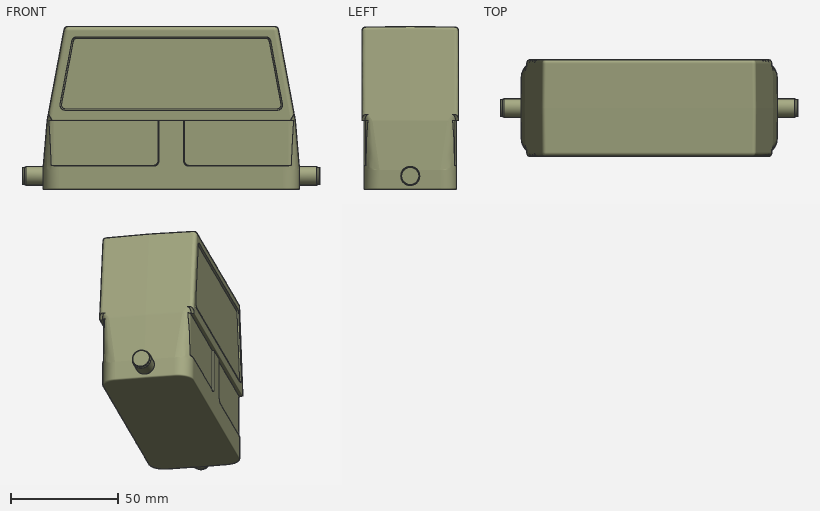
import cadquery as cq
import math

TOTAL_HEIGHT = 76.0
BASE_HEIGHT = 9.1
LIP_HEIGHT = 32.1
ROOF_FALL = 0.3

BASE_HALF_X = 59.8
LIP_HALF_X = 57.9
TOP_HALF_X = 49.7
BASE_HALF_Y = 21.6
OVERALL_DEPTH = 45.0
HOOD_HALF_Y = OVERALL_DEPTH / 2
END_PEAK = 0.3

BASE_CORNER_RADIUS = 7.5
WAIST_CORNER_RADIUS = 4.2
HOOD_EDGE_RADIUS = 1.8
FOOT_EDGE_RADIUS = 0.7
LIP_EDGE_RADIUS = 0.4
WAIST_BLEND_LENGTH = 0.62

PIN_HALF_SPAN = 69.2
PIN_DIAMETER = 8.9
PIN_TIP_DIAMETER = 8.0
PIN_TIP_LENGTH = 0.8
PIN_CONE_LENGTH = 0.8
PIN_HEIGHT = 6.4
PIN_INNER_X = 55.4

PANEL_BOTTOM = 37.0
PANEL_TOP = 71.2
PANEL_BOTTOM_HALF_X = 52.4
PANEL_TOP_HALF_X = 46.0
PANEL_CORNER_RADIUS = 2.5
PANEL_DEPTH = 0.7
PANEL_WALL_SLOPE = 45.0

POCKET_BOTTOM = 11.0
POCKET_RISE = 1.7
POCKET_INNER_X = 5.7
POCKET_CORNER_RADIUS = 2.6
POCKET_DEPTH = 0.8
POCKET_WALL_SLOPE = 25.0
POCKET_FLOOR_INNER_X = 54.7
POCKET_FLOOR_BOTTOM_RADIUS = 4.7
POCKET_FLOOR_TOP_RADIUS = 2.8
POCKET_REACH = 2.8

RELIEF_INNER_X = 55.4
RELIEF_HEIGHT = 4.2
RELIEF_TOP_RADIUS = 1.1

TOLERANCE = 0.01
CLEAR = 6.9


def plan_outline(half_x, half_y, z, radius=0.0):
    """Level outline with slightly peaked ends and optional rounded corners."""
    shoulder_x = half_x - END_PEAK * half_y / HOOD_HALF_Y
    points = [
        (half_x, 0, z),
        (shoulder_x, half_y, z),
        (-shoulder_x, half_y, z),
        (-half_x, 0, z),
        (-shoulder_x, -half_y, z),
        (shoulder_x, -half_y, z),
    ]
    wire = cq.Wire.makePolygon([cq.Vector(*p) for p in points], close=True)
    if radius == 0:
        return wire
    corners = [v for v in wire.Vertices() if abs(v.Y) > half_y / 2]
    return wire.fillet2D(radius, corners)


def ruled_body(lower, upper):
    return cq.Workplane(cq.Solid.makeLoft([lower, upper], True))


def end_wall_envelope():
    """Square-cornered body with both slopes of the end walls, blended at the lip."""
    lip_corner = cq.Vector(LIP_HALF_X, LIP_HEIGHT)
    base_corner = cq.Vector(BASE_HALF_X, BASE_HEIGHT)
    top_corner = cq.Vector(TOP_HALF_X, TOTAL_HEIGHT)
    blend_start = lip_corner + (base_corner - lip_corner).normalized() * WAIST_BLEND_LENGTH
    blend_end = lip_corner + (top_corner - lip_corner).normalized() * WAIST_BLEND_LENGTH
    peak_angle = math.degrees(math.atan(END_PEAK / HOOD_HALF_Y))
    quarter = (
        cq.Workplane("XZ")
        .moveTo(-CLEAR, 0)
        .lineTo(BASE_HALF_X, 0)
        .lineTo(BASE_HALF_X, BASE_HEIGHT)
        .lineTo(blend_start.x, blend_start.y)
        .tangentArcPoint((blend_end.x, blend_end.y), relative=False)
        .lineTo(TOP_HALF_X, TOTAL_HEIGHT)
        .lineTo(-CLEAR, TOTAL_HEIGHT)
        .close()
        .extrude(HOOD_HALF_Y + CLEAR, both=True)
        .rotate((0, 0, 0), (0, 0, 1), peak_angle)
    )
    quarter_space = cq.Workplane("XY").box(BASE_HALF_X, HOOD_HALF_Y, TOTAL_HEIGHT, centered=False)
    quarter = quarter.intersect(quarter_space)
    half = quarter.union(quarter.mirror("XZ"))
    return half.union(half.mirror("YZ"))


def make_base(envelope):
    foot = ruled_body(
        plan_outline(BASE_HALF_X, BASE_HALF_Y, 0, BASE_CORNER_RADIUS),
        plan_outline(BASE_HALF_X, BASE_HALF_Y, BASE_HEIGHT, BASE_CORNER_RADIUS),
    )
    foot = foot.faces("<Z").edges().fillet(FOOT_EDGE_RADIUS)
    waist = ruled_body(
        plan_outline(BASE_HALF_X, BASE_HALF_Y, BASE_HEIGHT, BASE_CORNER_RADIUS),
        plan_outline(LIP_HALF_X, BASE_HALF_Y, LIP_HEIGHT, WAIST_CORNER_RADIUS),
    )
    return foot.union(waist.intersect(envelope))


def make_hood(envelope):
    hood = ruled_body(
        plan_outline(LIP_HALF_X, HOOD_HALF_Y, LIP_HEIGHT),
        plan_outline(TOP_HALF_X, HOOD_HALF_Y, TOTAL_HEIGHT),
    )
    eave = TOTAL_HEIGHT - ROOF_FALL
    roof_section = [
        (-HOOD_HALF_Y, LIP_HEIGHT),
        (HOOD_HALF_Y, LIP_HEIGHT),
        (HOOD_HALF_Y, eave),
        (0, TOTAL_HEIGHT),
        (-HOOD_HALF_Y, eave),
    ]
    roof = cq.Workplane("YZ").polyline(roof_section).close().extrude(BASE_HALF_X, both=True)
    hood = hood.intersect(roof)
    outer_edges = [
        edge
        for edge in hood.edges().vals()
        if abs(edge.Center().y) > TOLERANCE and edge.Center().z > LIP_HEIGHT + TOLERANCE
    ]
    return hood.newObject(outer_edges).fillet(HOOD_EDGE_RADIUS).intersect(envelope)


def corner_relief():
    """Wedges under the hood corners, outside the rounded corner of the waist."""
    slope = (LIP_HALF_X - TOP_HALF_X) / (TOTAL_HEIGHT - LIP_HEIGHT)
    top_half_x = LIP_HALF_X - slope * RELIEF_HEIGHT
    core = ruled_body(
        plan_outline(LIP_HALF_X, BASE_HALF_Y, LIP_HEIGHT, WAIST_CORNER_RADIUS),
        plan_outline(top_half_x, BASE_HALF_Y, LIP_HEIGHT + RELIEF_HEIGHT, RELIEF_TOP_RADIUS),
    )
    wedge_profile = [
        (RELIEF_INNER_X, LIP_HEIGHT),
        (LIP_HALF_X, LIP_HEIGHT),
        (LIP_HALF_X, LIP_HEIGHT + RELIEF_HEIGHT),
    ]
    relief_inner_y = BASE_HALF_Y - WAIST_CORNER_RADIUS
    wedge = (
        cq.Workplane("XZ", origin=(0, -relief_inner_y, 0))
        .polyline(wedge_profile)
        .close()
        .extrude(CLEAR)
        .cut(core)
    )
    wedges = wedge.union(wedge.mirror("YZ"))
    return wedges.union(wedges.mirror("XZ"))


def front_panel():
    profile = [
        (-PANEL_BOTTOM_HALF_X, PANEL_BOTTOM),
        (PANEL_BOTTOM_HALF_X, PANEL_BOTTOM),
        (PANEL_TOP_HALF_X, PANEL_TOP),
        (-PANEL_TOP_HALF_X, PANEL_TOP),
    ]
    outline = cq.Sketch().polygon(profile + profile[:1]).vertices().fillet(PANEL_CORNER_RADIUS)
    return (
        cq.Workplane("XZ", origin=(0, -HOOD_HALF_Y, 0))
        .placeSketch(outline)
        .extrude(-PANEL_DEPTH, taper=PANEL_WALL_SLOPE)
    )


def floor_outline(half_y, z, radius):
    """Outline of the narrower body that is left behind the pockets."""
    half_x = POCKET_FLOOR_INNER_X + radius + END_PEAK
    return plan_outline(half_x, half_y, z, radius)


def front_pocket():
    """Pocket on the +X half of the front, wrapping around the waist corner."""
    width = BASE_HALF_X + CLEAR - POCKET_INNER_X
    height = LIP_HEIGHT + POCKET_RISE - POCKET_BOTTOM
    outline = cq.Sketch().rect(width, height).vertices().fillet(POCKET_CORNER_RADIUS)
    center = (POCKET_INNER_X + width / 2, -BASE_HALF_Y, POCKET_BOTTOM + height / 2)
    mouth = (
        cq.Workplane("XZ", origin=center)
        .placeSketch(outline)
        .extrude(-POCKET_REACH, taper=POCKET_WALL_SLOPE)
    )
    floor_half_y = BASE_HALF_Y - POCKET_DEPTH
    floor_body = ruled_body(
        floor_outline(floor_half_y, POCKET_BOTTOM, POCKET_FLOOR_BOTTOM_RADIUS),
        floor_outline(floor_half_y, LIP_HEIGHT + POCKET_RISE, POCKET_FLOOR_TOP_RADIUS),
    )
    hood_space = (
        cq.Workplane("XY", origin=(0, 0, LIP_HEIGHT))
        .rect(4 * BASE_HALF_X, 4 * BASE_HALF_Y)
        .extrude(CLEAR)
    )
    return mouth.cut(floor_body).cut(hood_space)


def lip_edges(body):
    """The two long lower edges of the hood."""
    return [
        edge
        for edge in body.edges("|X").vals()
        if abs(edge.Center().z - LIP_HEIGHT) < TOLERANCE
        and abs(edge.Center().y) > HOOD_HALF_Y - TOLERANCE
    ]


def make_pin():
    radius = PIN_DIAMETER / 2
    tip_radius = PIN_TIP_DIAMETER / 2
    tip_start = PIN_HALF_SPAN - PIN_TIP_LENGTH
    half_profile = [
        (PIN_INNER_X, 0),
        (PIN_INNER_X, radius),
        (tip_start - PIN_CONE_LENGTH, radius),
        (tip_start, tip_radius),
        (PIN_HALF_SPAN, tip_radius),
        (PIN_HALF_SPAN, 0),
    ]
    pin = cq.Workplane("XY").polyline(half_profile).close().revolve(360, (0, 0, 0), (1, 0, 0))
    return pin.translate((0, 0, PIN_HEIGHT))


envelope = end_wall_envelope()
body = make_base(envelope).union(make_hood(envelope))

panel = front_panel()
pocket = front_pocket()
pockets = pocket.union(pocket.mirror("YZ"))
for front_cut in (panel, pockets):
    body = body.cut(front_cut).cut(front_cut.mirror("XZ"))
body = body.cut(corner_relief())

body = body.newObject(lip_edges(body)).fillet(LIP_EDGE_RADIUS)

pin = make_pin()
result = body.union(pin).union(pin.mirror("YZ"))